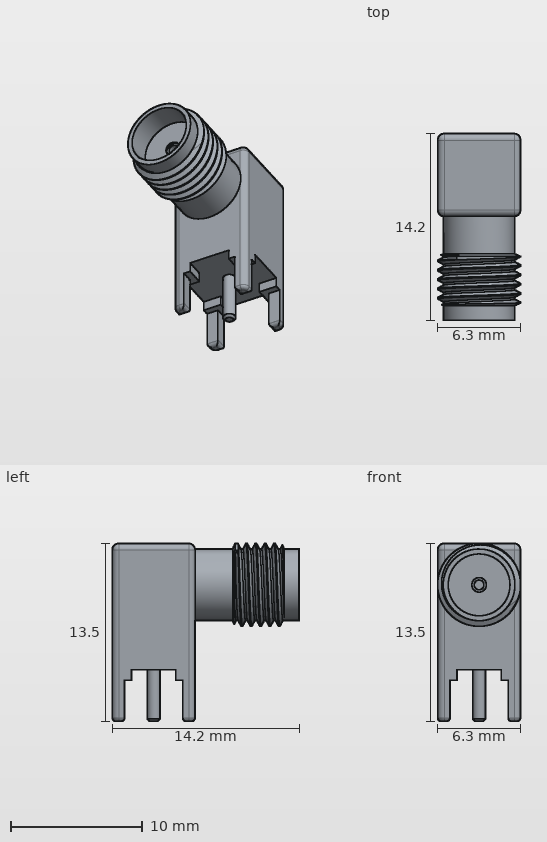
import cadquery as cq
import math

housing_width = 6.3
total_height = 13.53
block_bottom = 3.92
leg_length = 3.12
leg_gap = 4.4
shoulder_gap = 3.35
edge_fillet = 0.5
leg_tip_fillet = 0.3

pin_diameter = 1.0
pin_chamfer = 0.2

total_depth = 14.2
barrel_diameter = 5.45
bore_diameter = 4.7
bore_depth = 2.07
recess_diameter = 1.11
recess_depth = 0.14
contact_hole_diameter = 0.74
contact_hole_depth = 1.0

thread_diameter = housing_width
thread_length = 3.93
thread_tip_gap = 1.12
thread_end_bevel = 0.2
thread_pitch = 0.71
groove_root_width = 0.15
groove_crest_width = 0.62
groove_start = 0.24
groove_start_angle = 213.0
runout_turn = 0.25

overlap = 0.07

half_width = housing_width / 2
barrel_z = total_height - half_width
barrel_length = total_depth - housing_width
barrel_radius = barrel_diameter / 2
thread_radius = thread_diameter / 2
thread_start = barrel_length - thread_tip_gap - thread_length
slot_length = 2 * housing_width


def cross_slot(width, top):
    """Slots of one width running through the housing along X and along Y, open at the bottom."""
    along_x = cq.Workplane("XY").box(slot_length, width, top, centered=(True, True, False))
    along_y = cq.Workplane("XY").box(width, slot_length, top, centered=(True, True, False))
    return along_x.union(along_y)


def make_housing():
    block = cq.Workplane("XY").box(housing_width, housing_width, total_height, centered=(True, True, False))
    block = block.edges("|Z").fillet(edge_fillet)
    block = block.faces(">Z").edges().fillet(edge_fillet)
    block = block.cut(cross_slot(leg_gap, leg_length))
    block = block.cut(cross_slot(shoulder_gap, block_bottom))
    return block.faces("<Z").edges().fillet(leg_tip_fillet)


def make_pin():
    pin = cq.Workplane("XY").circle(pin_diameter / 2).extrude(block_bottom + overlap)
    return pin.faces("<Z").chamfer(pin_chamfer)


def upright_cylinder(diameter, top, bottom):
    return cq.Workplane("XY").workplane(offset=bottom).circle(diameter / 2).extrude(top - bottom)


def make_barrel():
    """Plain barrel along local Z, rooted inside the housing."""
    return upright_cylinder(barrel_diameter, barrel_length, -half_width)


def sweep_groove(path):
    """Sweep the V groove section, slightly oversized at root and crest, along a path about local Z."""
    flank_slope = (groove_crest_width - groove_root_width) / 2 / (thread_radius - barrel_radius)
    root_half = groove_root_width / 2 - overlap * flank_slope
    crest_half = groove_crest_width / 2 + overlap * flank_slope
    section = cq.Workplane("XZ").polyline([
        (barrel_radius - overlap, -root_half),
        (thread_radius + overlap, -crest_half),
        (thread_radius + overlap, crest_half),
        (barrel_radius - overlap, root_half),
    ])
    return section.close().sweep(cq.Workplane(path), isFrenet=True)


def make_thread():
    """Bevelled sleeve with a right-handed V groove, along local Z."""
    inner_radius = barrel_radius - 2 * overlap
    thread_end = thread_start + thread_length
    sleeve = (
        cq.Workplane("XZ")
        .moveTo(inner_radius, thread_start)
        .lineTo(barrel_radius, thread_start)
        .lineTo(thread_radius, thread_start + thread_end_bevel)
        .lineTo(thread_radius, thread_end - thread_end_bevel)
        .lineTo(barrel_radius, thread_end)
        .lineTo(inner_radius, thread_end)
        .close()
        .revolve(360, (0, 0, 0), (0, 1, 0))
    )
    helix = cq.Wire.makeHelix(thread_pitch, thread_length + thread_pitch, barrel_radius)

    runout_height = thread_pitch * runout_turn
    runout_angle = math.degrees(math.atan2(thread_radius - barrel_radius + overlap, runout_height))
    widening_helix = cq.Wire.makeHelix(thread_pitch, runout_height, barrel_radius, angle=runout_angle)
    runout = sweep_groove(widening_helix).rotate((0, 0, 0), (1, 0, 0), 180)

    tube = (
        cq.Workplane("XY")
        .workplane(offset=thread_start)
        .circle(thread_radius)
        .circle(inner_radius)
        .extrude(2 * thread_length)
    )
    for cutter in (sweep_groove(helix), runout):
        cutter = cutter.rotate((0, 0, 0), (0, 0, 1), groove_start_angle)
        tube = tube.cut(cutter.translate((0, 0, thread_start + groove_start)))
    return tube.intersect(sleeve)


def place_on_housing(body):
    """Turn local Z to -Y and move the origin to the middle of the housing's front face."""
    return body.rotate((0, 0, 0), (1, 0, 0), 90).translate((0, -half_width, barrel_z))


bore_floor = barrel_length - bore_depth
recess_floor = bore_floor - recess_depth
bore = upright_cylinder(bore_diameter, barrel_length, bore_floor)
recess = upright_cylinder(recess_diameter, bore_floor, recess_floor)
contact_hole = upright_cylinder(contact_hole_diameter, recess_floor, recess_floor - contact_hole_depth)

connector = make_housing().union(make_pin())
connector = connector.union(place_on_housing(make_barrel().union(make_thread())))
result = connector.cut(place_on_housing(bore.union(recess).union(contact_hole)))